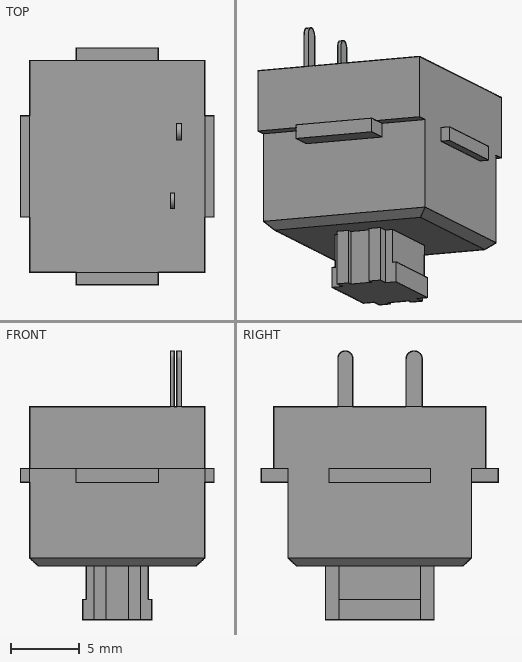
import cadquery as cq

TOTAL_HEIGHT = 19.55
LIP_TOP = 1.49
HOUSING_BOTTOM = 3.91
BEVEL_TOP = 4.5
TAB_BOTTOM = 9.99
TAB_TOP = 11.0
HOUSING_TOP = 15.5

HOUSING_X = 12.75
UPPER_Y = 15.42
LOWER_Y = 13.35
BEVEL_INSET = 0.63
TAB_SPAN_X = 14.1
TAB_SPAN_Y = 17.25
END_TAB_WIDTH = 5.96
SIDE_TAB_WIDTH = 7.37

CORE_X = 4.54
CORE_Y = 5.95
LIP_SPAN_X = 5.05
RIB_SPAN_Y = 7.9
RIB_OUTER_SPAN_X = 3.4
RIB_GAP = 1.6
WEB_SPAN_Y = 7.0

PINS = [
    (4.0, -2.5, 0.27, 1.1),
    (4.5, 2.5, 0.35, 1.2),
]


def centred_block(size_x, size_y, bottom, top):
    """Box centred on the Z axis between two heights."""
    return cq.Workplane("XY").workplane(offset=bottom).rect(size_x, size_y).extrude(top - bottom)


def make_housing():
    upper = centred_block(HOUSING_X, UPPER_Y, TAB_TOP, HOUSING_TOP)
    lower = centred_block(HOUSING_X, LOWER_Y, HOUSING_BOTTOM, TAB_TOP)
    lower = lower.faces("<Z").chamfer(BEVEL_TOP - HOUSING_BOTTOM, BEVEL_INSET)
    return upper.union(lower)


def make_tabs():
    """Crossed bars whose ends project through the housing walls."""
    side_tabs = centred_block(TAB_SPAN_X, SIDE_TAB_WIDTH, TAB_BOTTOM, TAB_TOP)
    end_tabs = centred_block(END_TAB_WIDTH, TAB_SPAN_Y, TAB_BOTTOM, TAB_TOP)
    return side_tabs.union(end_tabs)


def make_stem():
    core = centred_block(CORE_X, CORE_Y, 0, HOUSING_BOTTOM)
    lips = centred_block(LIP_SPAN_X, CORE_Y, 0, LIP_TOP)
    web = centred_block(RIB_GAP, WEB_SPAN_Y, 0, HOUSING_BOTTOM)
    stem = core.union(lips).union(web)
    rib_width = (RIB_OUTER_SPAN_X - RIB_GAP) / 2
    rib_x = (RIB_OUTER_SPAN_X + RIB_GAP) / 4
    for x in (-rib_x, rib_x):
        rib = centred_block(rib_width, RIB_SPAN_Y, 0, HOUSING_BOTTOM)
        stem = stem.union(rib.translate((x, 0, 0)))
    return stem


def make_pin(x, y, thickness, width):
    """Flat blade standing on the housing, with a fully rounded tip."""
    radius = width / 2
    shoulder = TOTAL_HEIGHT - radius
    return (
        cq.Workplane("YZ")
        .workplane(offset=x - thickness / 2)
        .moveTo(y - radius, HOUSING_TOP)
        .lineTo(y - radius, shoulder)
        .threePointArc((y, TOTAL_HEIGHT), (y + radius, shoulder))
        .lineTo(y + radius, HOUSING_TOP)
        .close()
        .extrude(thickness)
    )


result = make_housing().union(make_tabs()).union(make_stem())
for pin in PINS:
    result = result.union(make_pin(*pin))